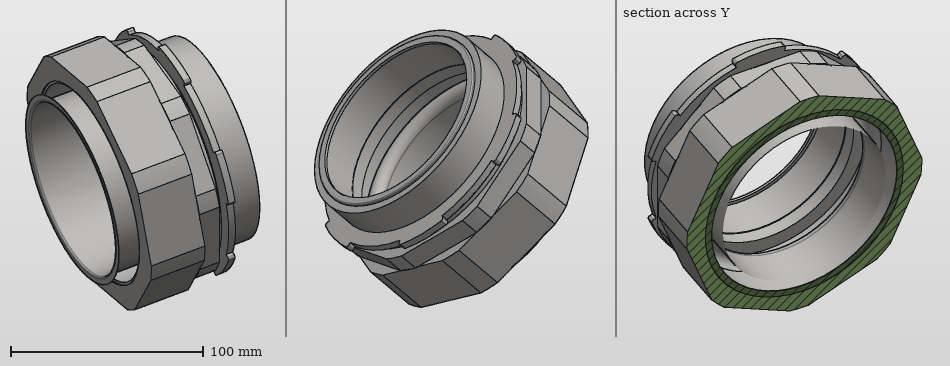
import cadquery as cq
import math


NUT_FRONT = 10.1
LIP_FRONT = 10.9
BACK_START = 34.2
COLLAR_FRONT = 41.5
CAVITY_END = 49.4
COLLAR_REAR = 53.0
GASKET_REAR = 56.0
BUSHING_FRONT = 57.4
LOCK_FRONT = 58.1
LOCK_REAR = 62.0
THREAD_END = 80.8
OVERALL_LENGTH = 82.5

SIDES = 8
NUT_CORNER_DIAMETER = 140.0
COLLAR_CORNER_DIAMETER = 134.5
FLAT_HALF_ANGLE = 17.9
NUT_TURN = 20.0

NUT_HOLE = 113.0
SPIGOT_DIAMETER = 120.0
CAVITY_DIAMETER = 117.3
BODY_BORE = 101.0
THREAD_DIAMETER = 113.0
GASKET_DIAMETER = 122.0
BUSHING_DIAMETER = 104.5
BUSHING_BORE = 100.0
BUSHING_LIP_BORE = 96.0
BUSHING_EDGE_RADIUS = 0.7

SHEET = 0.3
SHELL_BORE = 96.5
LIP_BORE = 110.0
FLANGE_DIAMETER = 105.0
FLANGE_ROUND = 0.8
FLANGE_FILLET = 1.0

TEETH = 6
TOOTH_TIP_DIAMETER = 136.0
TOOTH_ROOT_DIAMETER = 129.9
TOOTH_ANGLE = 25.6
FIRST_TOOTH = 30.0
TOOTH_CORNER_RADIUS = 1.4


def cylinder(diameter, start, end):
    """Cylinder around the Y axis between two stations."""
    return cq.Workplane("XZ", origin=(0, start, 0)).circle(diameter / 2).extrude(start - end)


def tube(outer, inner, start, end):
    return cylinder(outer, start, end).cut(cylinder(inner, start, end))


def octagon_prism(corner_diameter, turn, start, end):
    """Octagonal prism whose sharp corners are turned down to a circle."""
    flat_distance = corner_diameter / 2 * math.cos(math.radians(FLAT_HALF_ANGLE))
    sharp_diameter = 2 * flat_distance / math.cos(math.pi / SIDES)
    prism = (
        cq.Workplane("XZ", origin=(0, start, 0))
        .polygon(SIDES, sharp_diameter)
        .extrude(start - end)
        .rotate((0, 0, 0), (0, 1, 0), 180 / SIDES - turn)
    )
    return prism.intersect(cylinder(corner_diameter, start, end))


def make_nut():
    nut = octagon_prism(NUT_CORNER_DIAMETER, NUT_TURN, NUT_FRONT, COLLAR_FRONT)
    nut = nut.cut(cylinder(NUT_HOLE, NUT_FRONT, LIP_FRONT))
    nut = nut.cut(cylinder(CAVITY_DIAMETER, LIP_FRONT, COLLAR_FRONT))
    return nut.cut(cylinder(SPIGOT_DIAMETER, BACK_START, COLLAR_FRONT))


def make_body():
    body = octagon_prism(COLLAR_CORNER_DIAMETER, 0, COLLAR_FRONT, COLLAR_REAR)
    body = body.union(cylinder(SPIGOT_DIAMETER, BACK_START, COLLAR_FRONT))
    body = body.union(cylinder(THREAD_DIAMETER, COLLAR_REAR, THREAD_END))
    body = body.cut(cylinder(CAVITY_DIAMETER, BACK_START, CAVITY_END))
    body = body.cut(cylinder(BODY_BORE, CAVITY_END, BUSHING_FRONT))
    return body.cut(cylinder(BUSHING_DIAMETER, BUSHING_FRONT, THREAD_END))


def make_lock_ring():
    ring = cylinder(TOOTH_ROOT_DIAMETER, LOCK_FRONT, LOCK_REAR)
    reach = TOOTH_TIP_DIAMETER
    half = math.radians(TOOTH_ANGLE / 2)
    sector = (
        cq.Workplane("XZ", origin=(0, LOCK_FRONT, 0))
        .polyline([
            (0, 0),
            (reach * math.cos(half), reach * math.sin(half)),
            (reach * math.cos(half), -reach * math.sin(half)),
        ])
        .close()
        .extrude(LOCK_FRONT - LOCK_REAR)
    )
    tooth = sector.intersect(cylinder(TOOTH_TIP_DIAMETER, LOCK_FRONT, LOCK_REAR))
    tooth = tooth.edges("|Y and (>Z or <Z)").fillet(TOOTH_CORNER_RADIUS)
    for index in range(TEETH):
        angle = FIRST_TOOTH + index * 360 / TEETH
        ring = ring.union(tooth.rotate((0, 0, 0), (0, 1, 0), -angle))
    return ring.cut(cylinder(THREAD_DIAMETER, LOCK_FRONT, LOCK_REAR))


def make_shell():
    """Sheet ring open to the front: lip, outer wall, half-round back, inner tube and flange."""
    inside = SHELL_BORE / 2
    tube_outside = inside + SHEET
    wall_outside = CAVITY_DIAMETER / 2
    wall_inside = wall_outside - SHEET
    lip_edge = LIP_BORE / 2
    flange_edge = FLANGE_DIAMETER / 2
    back_radius = (wall_outside - inside) / 2
    back_centre = inside + back_radius
    front_round = FLANGE_ROUND * (1 - math.sqrt(0.5))
    rear_fillet = FLANGE_FILLET * (1 - math.sqrt(0.5))
    profile = (
        cq.Workplane("XY")
        .moveTo(flange_edge, 0)
        .lineTo(inside + FLANGE_ROUND, 0)
        .threePointArc((inside + front_round, front_round), (inside, FLANGE_ROUND))
        .lineTo(inside, BACK_START)
        .threePointArc((back_centre, BACK_START + back_radius), (wall_outside, BACK_START))
        .lineTo(wall_outside, LIP_FRONT)
        .lineTo(lip_edge, LIP_FRONT)
        .lineTo(lip_edge, LIP_FRONT + SHEET)
        .lineTo(wall_inside, LIP_FRONT + SHEET)
        .lineTo(wall_inside, BACK_START)
        .threePointArc((back_centre, BACK_START + back_radius - SHEET), (tube_outside, BACK_START))
        .lineTo(tube_outside, SHEET + FLANGE_FILLET)
        .threePointArc(
            (tube_outside + rear_fillet, SHEET + rear_fillet),
            (tube_outside + FLANGE_FILLET, SHEET),
        )
        .lineTo(flange_edge, SHEET)
        .close()
    )
    return profile.revolve(360, (0, 0), (0, 1))


def make_bushing():
    """Bushing that fills the thread end, with a narrower lip where it stands out of the body."""
    bushing = cylinder(BUSHING_DIAMETER, BUSHING_FRONT, OVERALL_LENGTH)
    bushing = bushing.cut(cylinder(BUSHING_BORE, BUSHING_FRONT, THREAD_END))
    bushing = bushing.faces(">Y").edges().fillet(BUSHING_EDGE_RADIUS)
    return bushing.cut(cylinder(BUSHING_LIP_BORE, THREAD_END, OVERALL_LENGTH))


nut = make_nut()
body = make_body()
shell = make_shell()
gasket = tube(GASKET_DIAMETER, THREAD_DIAMETER, COLLAR_REAR, GASKET_REAR)
lock_ring = make_lock_ring()
bushing = make_bushing()

result = cq.Compound.makeCompound([
    nut.val(),
    body.val(),
    shell.val(),
    gasket.val(),
    lock_ring.val(),
    bushing.val(),
])